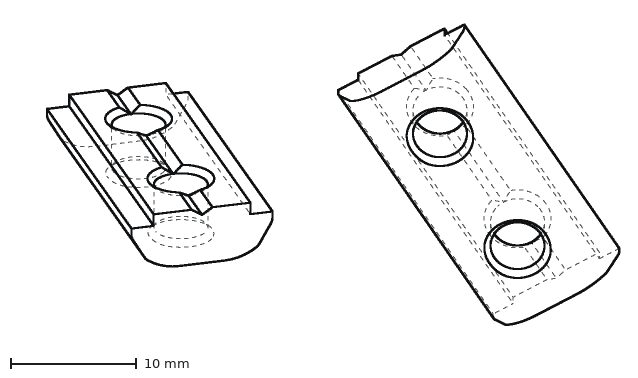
import cadquery as cq
import math

length = 24.0
width = 11.7
height = 4.8

head_width = 8.02
shoulder_drop = 1.0
flank_drop = 1.8
flank_angle = 60.0
flank_end_height = 0.95
underside_radius = 4.5
flank_top_radius = 1.0
flank_bottom_radius = 1.0

groove_width = 1.73
groove_depth = 0.55

hole_diameter = 4.3
hole_spacing = 12.0
countersink_diameter = 5.33
countersink_angle = 90.0


def make_bar():
    """Extrude the T-shaped section along X and round the flank corners."""
    half_width = width / 2
    half_head = head_width / 2
    shoulder_z = height - shoulder_drop
    flank_top_z = height - flank_drop
    flank_run = (flank_top_z - flank_end_height) / math.tan(math.radians(flank_angle))
    flank_end_y = half_width - flank_run
    arc_run = math.sqrt(underside_radius**2 - (underside_radius - flank_end_height) ** 2)
    half_flat = flank_end_y - arc_run

    section = (
        cq.Workplane("YZ")
        .workplane(offset=-length / 2)
        .moveTo(-half_flat, 0)
        .lineTo(half_flat, 0)
        .radiusArc((flank_end_y, flank_end_height), -underside_radius)
        .lineTo(half_width, flank_top_z)
        .lineTo(half_width, shoulder_z)
        .lineTo(half_head, shoulder_z)
        .lineTo(half_head, height)
        .lineTo(groove_width / 2, height)
        .lineTo(0, height - groove_depth)
        .lineTo(-groove_width / 2, height)
        .lineTo(-half_head, height)
        .lineTo(-half_head, shoulder_z)
        .lineTo(-half_width, shoulder_z)
        .lineTo(-half_width, flank_top_z)
        .lineTo(-flank_end_y, flank_end_height)
        .radiusArc((-half_flat, 0), -underside_radius)
        .close()
    )
    bar = section.extrude(length)

    corners = (
        (flank_end_y, flank_end_height, flank_bottom_radius),
        (half_width, flank_top_z, flank_top_radius),
    )
    for y, z, radius in corners:
        for side in (-1, 1):
            edge = cq.selectors.NearestToPointSelector((0, side * y, z))
            bar = bar.edges("|X").edges(edge).fillet(radius)
    return bar


def make_hole_cutter():
    """Half-section of a through hole, widening at both ends, revolved about Z."""
    hole_radius = hole_diameter / 2
    mouth_radius = countersink_diameter / 2
    half_angle = math.radians(countersink_angle / 2)
    countersink_depth = (mouth_radius - hole_radius) / math.tan(half_angle)
    return (
        cq.Workplane("XZ")
        .moveTo(0, 0)
        .lineTo(mouth_radius, 0)
        .lineTo(hole_radius, countersink_depth)
        .lineTo(hole_radius, height - countersink_depth)
        .lineTo(mouth_radius, height)
        .lineTo(0, height)
        .close()
        .revolve(360, (0, 0, 0), (0, 1, 0))
    )


result = make_bar()
for hole_x in (-hole_spacing / 2, hole_spacing / 2):
    result = result.cut(make_hole_cutter().translate((hole_x, 0, 0)))